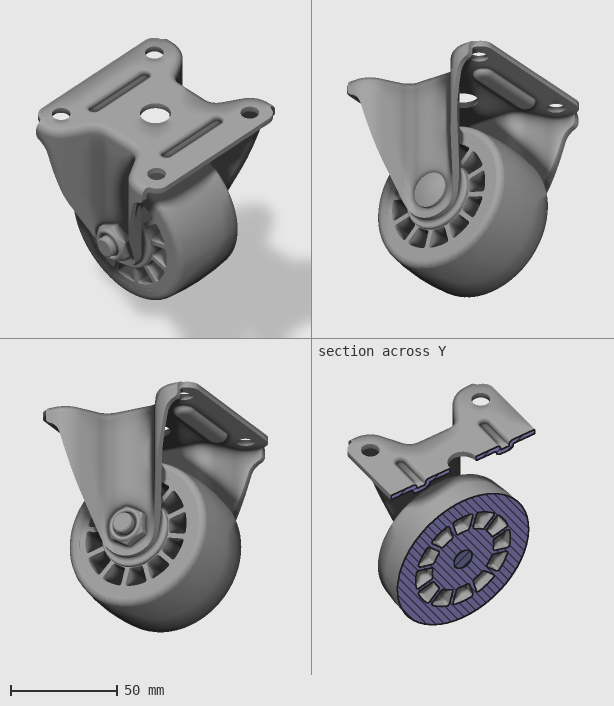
import cadquery as cq
import math


WHEEL_R = 37.5
PLATE_TOP = 99.8 - WHEEL_R
SHEET = 3.0
BEND_R = 4.0

PLATE_HALF_X = 40.98
PLATE_CORNER_R = 6.0
HOLE_PITCH = 62.9
HOLE_D = 8.8
CENTRE_HOLE_D = 14.6

LEG_FACE_Y = 25.5
EAR_FACE_Y = 44.77
STRIP_HALF_X = 8.7
WALL_SLOPE = math.radians(60)
EAR_HALF_X = 34.9
EAR_LENGTH = 9.1
EAR_CORNER_R = 3.0
EAR_NECK_R = 8.0
NOTCH_R = 2.5
LEG_TAPER = math.radians(15)
LEG_TIP_R = 15.0
LEG_TIP_Z = 1.4

RIB_X = 23.9
RIB_SPAN = 33.9
RIB_GROOVE_W = 4.7
RIB_GROOVE_ROUND = 2.2
RIB_WIDTH = 10.0
RIB_ROUND = 2.7

TREAD_HALF_Y = 20.0
TREAD_CROWN = 1.6
TREAD_ROUND = 3.0
RIM_R = 29.9
WEB_RECESS = 0.1
WINDOW_OUTER_R = 26.9
WINDOW_INNER_R = 17.6
WINDOW_ROUND = 1.2
SPOKES = 12
SPOKE_W = 2.4
HUB_R = 17.4
HUB_HALF_Y = 22.0
HUB_ROUND = 0.9
HUB_RECESS_R = 15.0
HUB_RECESS = 0.1
BOSS_R = 8.8

BOLT_R = 5.0
BOLT_END_Y = -34.6
BOLT_CHAMFER = 0.7
HEAD_R = 8.8
HEAD_RIM = 1.8
HEAD_DOME = 1.6

NUT_FLATS = 17.0
NUT_HEIGHT = 6.5
NUT_HEX_HEIGHT = 5.3
NUT_CORNER_CHAMFER = 1.4
COLLAR_R = 8.4
COLLAR_BORE_R = 6.1
COLLAR_BORE_DEPTH = 2.0

PLATE_BOTTOM = PLATE_TOP - SHEET
LEG_INNER_Y = LEG_FACE_Y - SHEET
HOLE_XY = HOLE_PITCH / 2
EAR_BEND_R = EAR_FACE_Y - HOLE_XY
NUT_CORNER_R = NUT_FLATS / 2 / math.cos(math.pi / 6)


def along(origin, direction, distance):
    """Point at a distance from an origin along a unit direction."""
    return (origin[0] + distance * direction[0], origin[1] + distance * direction[1])


def polar(centre, radius, angle):
    return along(centre, (math.cos(angle), math.sin(angle)), radius)


def cylinder_y(radius, y_start, y_end):
    """Cylinder on the axle between two Y positions, y_start < y_end."""
    return cq.Workplane("XZ", origin=(0, y_end, 0)).circle(radius).extrude(y_end - y_start)


def leg_block(inset, top, bend_radius):
    """Block bounded by the wavy leg walls, set in from their outer faces by `inset`."""
    normal = (-math.sin(WALL_SLOPE), math.cos(WALL_SLOPE))
    ear_centre = (HOLE_XY, HOLE_XY)
    offset_x = HOLE_XY - STRIP_HALF_X
    offset_y = HOLE_XY - LEG_FACE_Y
    reach = offset_x * normal[0] + offset_y * normal[1] + EAR_BEND_R
    valley_r = -reach / (1 - normal[1])
    valley_centre = (STRIP_HALF_X, LEG_FACE_Y + valley_r)

    ear_r = EAR_BEND_R - inset
    inner_valley_r = valley_r + inset
    half_angle = math.pi / 2 + WALL_SLOPE / 2
    ear_start = (HOLE_XY, HOLE_XY + ear_r)
    ear_middle = polar(ear_centre, ear_r, half_angle)
    ear_end = along(ear_centre, normal, ear_r)
    valley_start = along(valley_centre, normal, -inner_valley_r)
    valley_middle = polar(valley_centre, -inner_valley_r, half_angle)
    valley_end = (STRIP_HALF_X, LEG_FACE_Y - inset)
    block_half_x = PLATE_HALF_X + 2 * BEND_R

    depth = PLATE_TOP + WHEEL_R
    quarter = (
        cq.Workplane("XY", origin=(0, 0, top))
        .lineTo(block_half_x, 0)
        .lineTo(block_half_x, ear_start[1])
        .lineTo(*ear_start)
        .threePointArc(ear_middle, ear_end)
        .lineTo(*valley_start)
        .threePointArc(valley_middle, valley_end)
        .lineTo(0, valley_end[1])
        .close()
        .extrude(-depth)
    )
    half = quarter.union(quarter.mirror("YZ"))
    block = half.union(half.mirror("XZ")).clean()
    return block.faces(">Z").edges("not(<X or >X)").fillet(bend_radius)


def plan_prism():
    """Plate outline seen along Z: rounded corners that curve back out into the ears."""
    corner = (PLATE_HALF_X - PLATE_CORNER_R, EAR_FACE_Y - BEND_R - PLATE_CORNER_R)
    notch_x = EAR_HALF_X + NOTCH_R
    notch_rise = math.sqrt((PLATE_CORNER_R + NOTCH_R) ** 2 - (notch_x - corner[0]) ** 2)
    notch = (notch_x, corner[1] + notch_rise)
    turn = math.atan2(notch_rise, notch_x - corner[0])
    depth = PLATE_TOP + WHEEL_R
    quarter = (
        cq.Workplane("XY", origin=(0, 0, PLATE_TOP))
        .lineTo(PLATE_HALF_X, 0)
        .lineTo(PLATE_HALF_X, corner[1])
        .threePointArc(polar(corner, PLATE_CORNER_R, turn / 2), polar(corner, PLATE_CORNER_R, turn))
        .threePointArc(polar(notch, -NOTCH_R, turn / 2), (EAR_HALF_X, notch[1]))
        .lineTo(EAR_HALF_X, EAR_FACE_Y)
        .lineTo(0, EAR_FACE_Y)
        .close()
        .extrude(-depth)
    )
    half = quarter.union(quarter.mirror("YZ"))
    return half.union(half.mirror("XZ"))


def leg_prism():
    """Leg outline seen along Y: full-width plate, rounded ears, tapered leg with a round tip."""
    edge_normal = (math.cos(LEG_TAPER), -math.sin(LEG_TAPER))
    edge_direction = (math.sin(LEG_TAPER), math.cos(LEG_TAPER))
    tip = (0, LEG_TIP_Z)
    ear = (EAR_HALF_X - EAR_CORNER_R, PLATE_TOP - EAR_LENGTH + EAR_CORNER_R)

    neck_offset = LEG_TIP_R + EAR_NECK_R
    ear_along = ear[0] * edge_direction[0] + (ear[1] - LEG_TIP_Z) * edge_direction[1]
    ear_across = ear[0] * edge_normal[0] + (ear[1] - LEG_TIP_Z) * edge_normal[1] - neck_offset
    neck_along = ear_along - math.sqrt((EAR_NECK_R + EAR_CORNER_R) ** 2 - ear_across ** 2)
    neck = along(along(tip, edge_normal, neck_offset), edge_direction, neck_along)
    turn = math.atan2(neck[1] - ear[1], neck[0] - ear[0])
    neck_start_angle = turn + math.pi
    neck_end_angle = math.pi - LEG_TAPER
    neck_middle = polar(neck, EAR_NECK_R, (neck_start_angle + neck_end_angle) / 2)

    bend_end = PLATE_TOP - BEND_R
    half = (
        cq.Workplane("XZ", origin=(0, EAR_FACE_Y, 0))
        .moveTo(0, PLATE_TOP)
        .lineTo(PLATE_HALF_X, PLATE_TOP)
        .lineTo(PLATE_HALF_X, bend_end)
        .lineTo(EAR_HALF_X, bend_end)
        .lineTo(EAR_HALF_X, ear[1])
        .threePointArc(polar(ear, EAR_CORNER_R, turn / 2), polar(ear, EAR_CORNER_R, turn))
        .threePointArc(neck_middle, along(neck, edge_normal, -EAR_NECK_R))
        .lineTo(*along(tip, edge_normal, LEG_TIP_R))
        .threePointArc(
            polar(tip, LEG_TIP_R, -(math.pi / 2 + LEG_TAPER) / 2), (0, LEG_TIP_Z - LEG_TIP_R)
        )
        .close()
        .extrude(2 * EAR_FACE_Y)
    )
    return half.union(half.mirror("YZ"))


def rib_bump(x):
    """Raised underside of a rib, reaching half a sheet into the plate."""
    return (
        cq.Workplane("XY", origin=(x, 0, PLATE_BOTTOM - SHEET))
        .slot2D(RIB_SPAN + RIB_WIDTH, RIB_WIDTH, 90)
        .extrude(1.5 * SHEET)
        .faces("<Z")
        .edges()
        .fillet(RIB_ROUND)
    )


def rib_groove(x):
    """Straight-walled groove of a rib, from its floor up to the plate top."""
    return (
        cq.Workplane("XY", origin=(x, 0, PLATE_BOTTOM))
        .slot2D(RIB_SPAN + RIB_GROOVE_W, RIB_GROOVE_W, 90)
        .extrude(SHEET)
    )


def build_bracket():
    bracket = leg_block(0, PLATE_TOP, BEND_R).cut(
        leg_block(SHEET, PLATE_BOTTOM, BEND_R - SHEET)
    )
    bracket = bracket.intersect(plan_prism()).intersect(leg_prism())
    for x in (-RIB_X, RIB_X):
        bracket = bracket.union(rib_bump(x)).cut(rib_groove(x))
        mouth = cq.selectors.BoxSelector(
            (x - RIB_WIDTH, -RIB_SPAN, PLATE_TOP - SHEET / 4),
            (x + RIB_WIDTH, RIB_SPAN, PLATE_TOP + SHEET / 4),
        )
        bracket = bracket.edges(mouth).fillet(RIB_GROOVE_ROUND)
    mounting_holes = (
        cq.Workplane("XY", origin=(0, 0, PLATE_TOP))
        .rect(HOLE_PITCH, HOLE_PITCH, forConstruction=True)
        .vertices()
        .circle(HOLE_D / 2)
        .extrude(-SHEET)
    )
    centre_hole = (
        cq.Workplane("XY", origin=(0, 0, PLATE_TOP)).circle(CENTRE_HOLE_D / 2).extrude(-SHEET)
    )
    axle_hole = cylinder_y(BOLT_R, -EAR_FACE_Y, EAR_FACE_Y)
    return bracket.cut(mounting_holes).cut(centre_hole).cut(axle_hole)


def tread():
    """Crowned disc with rounded shoulders."""
    side_r = WHEEL_R - TREAD_CROWN
    return (
        cq.Workplane("XY")
        .moveTo(0, -TREAD_HALF_Y)
        .lineTo(side_r, -TREAD_HALF_Y)
        .threePointArc((WHEEL_R, 0), (side_r, TREAD_HALF_Y))
        .lineTo(0, TREAD_HALF_Y)
        .close()
        .revolve(360, (0, 0, 0), (0, 1, 0))
        .edges()
        .fillet(TREAD_ROUND)
    )


def spoke_windows():
    """Through windows left between the spokes, with rounded corners."""
    width = 2 * TREAD_HALF_Y
    windows = cylinder_y(WINDOW_OUTER_R, -TREAD_HALF_Y, TREAD_HALF_Y).cut(
        cylinder_y(WINDOW_INNER_R, -TREAD_HALF_Y, TREAD_HALF_Y)
    )
    step = 360 / SPOKES
    for index in range(SPOKES):
        spoke = (
            cq.Workplane("XY")
            .box(WHEEL_R, width, SPOKE_W, centered=(False, True, True))
            .rotate((0, 0, 0), (0, 1, 0), (index + 0.5) * step)
        )
        windows = windows.cut(spoke)
    return windows.edges("|Y").fillet(WINDOW_ROUND)


def build_wheel():
    web_face = TREAD_HALF_Y - WEB_RECESS
    hub = cylinder_y(HUB_R, -HUB_HALF_Y, HUB_HALF_Y).faces("|Y").edges().fillet(HUB_ROUND)
    hub_face = HUB_HALF_Y - HUB_RECESS
    wheel = tread().cut(spoke_windows())
    for start, end in ((-TREAD_HALF_Y, -web_face), (web_face, TREAD_HALF_Y)):
        wheel = wheel.cut(cylinder_y(RIM_R, start, end))
    wheel = wheel.union(hub)
    for start, end in ((-HUB_HALF_Y, -hub_face), (hub_face, HUB_HALF_Y)):
        wheel = wheel.cut(cylinder_y(HUB_RECESS_R, start, end))
    wheel = wheel.union(cylinder_y(BOSS_R, -LEG_INNER_Y, LEG_INNER_Y))
    return wheel.cut(cylinder_y(BOLT_R, -LEG_INNER_Y, LEG_INNER_Y))


def build_bolt():
    """Axle bolt with a domed head at +Y and a chamfered end at -Y."""
    rim_y = LEG_FACE_Y + HEAD_RIM
    dome_y = rim_y + HEAD_DOME
    dome_r = (HEAD_R ** 2 + HEAD_DOME ** 2) / (2 * HEAD_DOME)
    half_dome_angle = math.pi / 2 - math.asin(HEAD_R / dome_r) / 2
    dome_middle = polar((0, dome_y - dome_r), dome_r, half_dome_angle)
    return (
        cq.Workplane("XY")
        .moveTo(0, BOLT_END_Y)
        .lineTo(BOLT_R - BOLT_CHAMFER, BOLT_END_Y)
        .lineTo(BOLT_R, BOLT_END_Y + BOLT_CHAMFER)
        .lineTo(BOLT_R, LEG_FACE_Y)
        .lineTo(HEAD_R, LEG_FACE_Y)
        .lineTo(HEAD_R, rim_y)
        .threePointArc(dome_middle, (0, dome_y))
        .close()
        .revolve(360, (0, 0, 0), (0, 1, 0))
    )


def build_nut():
    """Hexagon nut with chamfered corners and a locking collar of half-round rim."""
    collar_y = -LEG_FACE_Y - NUT_HEIGHT
    hexagon = (
        cq.Workplane("XZ", origin=(0, -LEG_FACE_Y, 0))
        .polygon(6, 2 * NUT_CORNER_R)
        .extrude(NUT_HEX_HEIGHT)
        .rotate((0, 0, 0), (0, 1, 0), 30)
    )
    corner_cone = (
        cylinder_y(NUT_CORNER_R, -LEG_FACE_Y - NUT_HEX_HEIGHT, -LEG_FACE_Y)
        .faces("<Y")
        .edges()
        .chamfer(NUT_CORNER_CHAMFER)
    )
    crest_r = (COLLAR_R + COLLAR_BORE_R) / 2
    shoulder_y = collar_y + (COLLAR_R - COLLAR_BORE_R) / 2
    collar = (
        cq.Workplane("XY")
        .moveTo(0, -LEG_FACE_Y)
        .lineTo(COLLAR_R, -LEG_FACE_Y)
        .lineTo(COLLAR_R, shoulder_y)
        .threePointArc((crest_r, collar_y), (COLLAR_BORE_R, shoulder_y))
        .lineTo(COLLAR_BORE_R, collar_y + COLLAR_BORE_DEPTH)
        .lineTo(0, collar_y + COLLAR_BORE_DEPTH)
        .close()
        .revolve(360, (0, 0, 0), (0, 1, 0))
    )
    recess = cylinder_y(COLLAR_BORE_R, collar_y, collar_y + COLLAR_BORE_DEPTH)
    bore = cylinder_y(BOLT_R, collar_y, -LEG_FACE_Y)
    return hexagon.intersect(corner_cone).union(collar).cut(recess).cut(bore)


bracket = build_bracket()
wheel = build_wheel()
bolt = build_bolt()
nut = build_nut()

result = cq.Compound.makeCompound([part.solids().val() for part in (bracket, wheel, bolt, nut)])